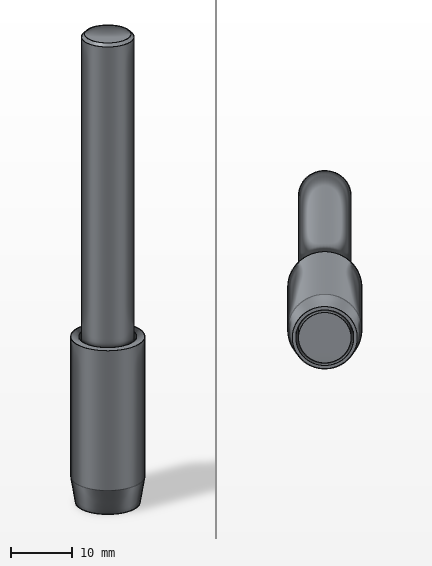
import cadquery as cq

total_length = 82.0

sleeve_diameter = 12.0
sleeve_length = 29.0
bore_diameter = 9.35
taper_length = 4.5
taper_end_diameter = 10.5

pin_diameter = 8.5
pin_chamfer = 0.5


def make_sleeve():
    """Revolve the sleeve wall around Z, with its small end at Z = 0."""
    bore_radius = bore_diameter / 2
    outer_radius = sleeve_diameter / 2
    wall = [
        (bore_radius, 0),
        (taper_end_diameter / 2, 0),
        (outer_radius, taper_length),
        (outer_radius, sleeve_length),
        (bore_radius, sleeve_length),
    ]
    return cq.Workplane("XZ").polyline(wall).close().revolve(360, (0, 0), (0, 1))


def make_pin():
    """Rod through the sleeve, flush with its lower end and chamfered on top."""
    rod = cq.Workplane("XY").circle(pin_diameter / 2).extrude(total_length)
    return rod.faces(">Z").edges().chamfer(pin_chamfer)


sleeve = make_sleeve()
pin = make_pin()

result = cq.Compound.makeCompound([sleeve.val(), pin.val()])